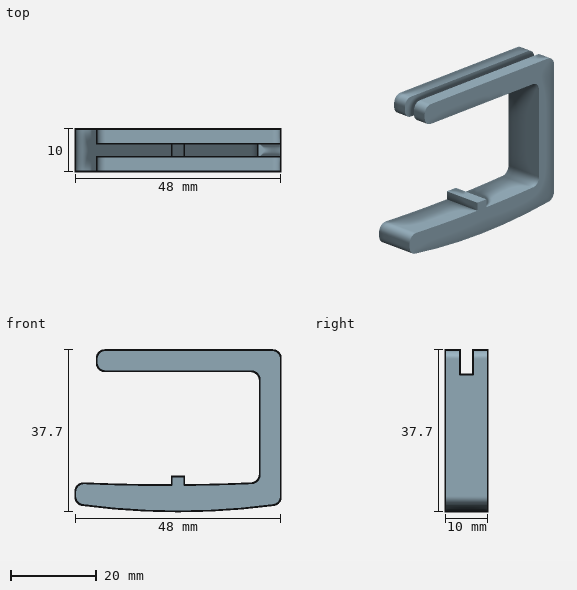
import cadquery as cq

length = 48.0
width = 10.0
height = 37.7
thickness = 5.0
corner_radius = 2.0
upper_arm_setback = 5.0
outer_bow = 1.75
inner_bow = 0.55
slot_width = 3.0
slot_depth = 5.7
rib_width = 3.0
rib_height = 2.0

middle = length / 2
back_inside = length - thickness
upper_arm_bottom = height - thickness
lower_arm_top = outer_bow + thickness
inner_low_point = lower_arm_top - inner_bow


def make_hook():
    """Hook-shaped plate with a bowed lower arm and rounded corners."""
    return (
        cq.Workplane("XZ")
        .moveTo(0, outer_bow)
        .threePointArc((middle, 0), (length, outer_bow))
        .lineTo(length, height)
        .lineTo(upper_arm_setback, height)
        .lineTo(upper_arm_setback, upper_arm_bottom)
        .lineTo(back_inside, upper_arm_bottom)
        .lineTo(back_inside, lower_arm_top)
        .threePointArc((back_inside / 2, inner_low_point), (0, lower_arm_top))
        .close()
        .extrude(width / 2, both=True)
        .edges("|Y")
        .fillet(corner_radius)
    )


def make_rib():
    """Rib across the lower arm, its root buried in the arm."""
    root = inner_low_point / 2
    top = inner_low_point + rib_height
    return (
        cq.Workplane("XY", origin=(middle, 0, root))
        .rect(rib_width, width)
        .extrude(top - root)
    )


def make_slot():
    """Slot splitting the upper arm, running out through the back wall."""
    return (
        cq.Workplane("XY", origin=(middle, 0, height - slot_depth))
        .rect(length, slot_width)
        .extrude(slot_depth)
    )


result = make_hook().union(make_rib()).cut(make_slot())